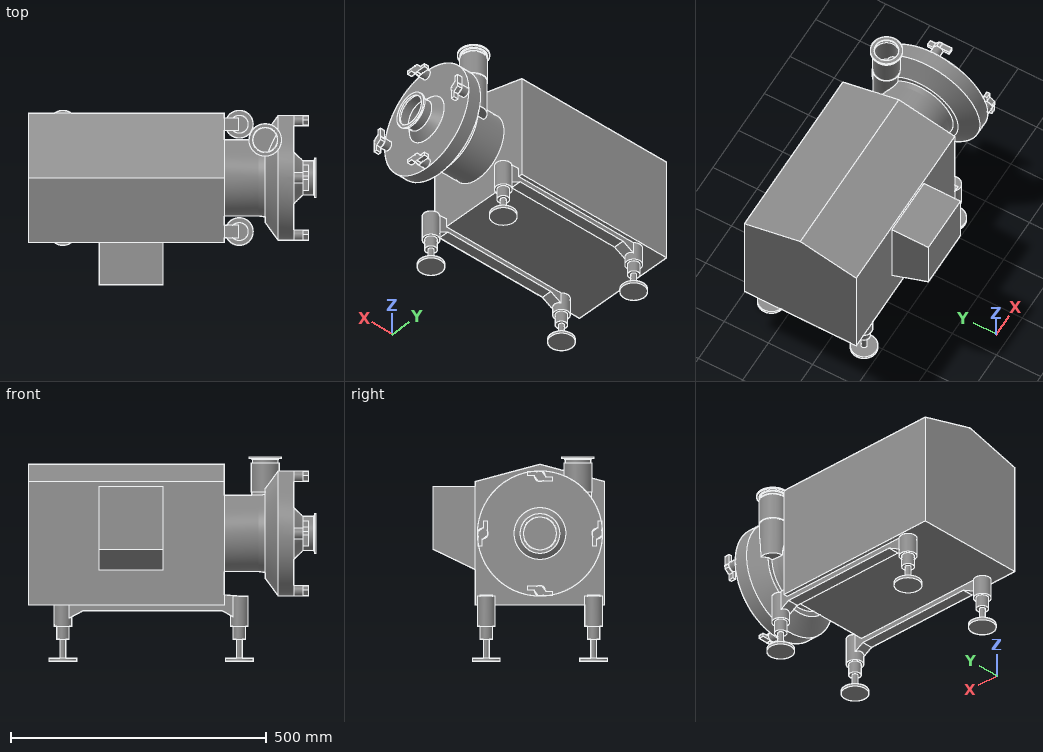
import cadquery as cq
cabinet_length = 383.5
cabinet_half_width = 126.5
cabinet_bottom_z = 110.0
cabinet_eave_z = 352.0
cabinet_ridge_z = 385.5

control_start_x = 138.5
control_length = 125.0
control_front_y = -209.5
control_top_z = 342.5
control_front_bottom_z = 219.0
control_wall_bottom_z = 179.0

shaft_z = 250.0
shaft_diameter = 150.0
collar_start_x = 451.0
collar_diameter = 153.0
casing_start_x = 463.5
casing_back_diameter = 175.5
casing_rim_start_x = 488.5
casing_rim_diameter = 245.0
casing_end_x = 519.5

flange_thickness = 3.5
shoulder_length = 1.5
shoulder_widening = 1.5

inlet_cone_diameter = 101.5
inlet_neck_start_x = 537.0
inlet_neck_diameter = 67.5
inlet_end_x = 563.0
inlet_flange_diameter = 77.5
inlet_bore_diameter = 64.0

outlet_x = casing_start_x
outlet_y = 74.5
outlet_floor_z = 331.5
outlet_foot_diameter = 53.0
outlet_diameter = 55.0
outlet_neck_z = 388.0
outlet_neck_diameter = 50.5
outlet_flange_diameter = 63.5
outlet_top_z = 400.0
outlet_bore_diameter = 48.0

knob_count = 4
knob_stem_diameter = 21.0
knob_handle_start_x = inlet_neck_start_x
knob_end_x = 548.5
knob_circle_radius = (casing_rim_diameter - knob_stem_diameter) / 2
handle_half_outline = [
    (-25.0, 9.0),
    (-3.5, 9.0),
    (-3.5, 10.0),
    (4.0, 9.0),
    (12.5, -1.5),
    (25.0, -1.5),
]

leg_x_positions = (67.5, 412.5)
leg_y_offset = 105.0
leg_steps = [(54.5, 6.0), (12.0, 43.0), (25.0, 68.0), (35.0, 127.0)]

rail_width = 25.0
rail_bottom_z = 98.5
rail_rear_end_bottom_z = 77.5
rail_front_end_bottom_z = 80.5
rail_rear_top_z = 155.5
rail_front_top_z = 128.0
rail_rear_x = 67.5
rail_rear_gusset_end_x = 107.0
rail_front_gusset_start_x = 379.5
rail_front_x = 411.5


def make_cabinet():
    outline = [
        (-cabinet_half_width, cabinet_bottom_z),
        (cabinet_half_width, cabinet_bottom_z),
        (cabinet_half_width, cabinet_eave_z),
        (0, cabinet_ridge_z),
        (-cabinet_half_width, cabinet_eave_z),
    ]
    return cq.Workplane("YZ").polyline(outline).close().extrude(cabinet_length)


def make_control_box():
    outline = [
        (0, control_top_z),
        (control_front_y, control_top_z),
        (control_front_y, control_front_bottom_z),
        (-cabinet_half_width, control_wall_bottom_z),
        (0, control_wall_bottom_z),
    ]
    plane = cq.Workplane("YZ", origin=(control_start_x, 0, 0))
    return plane.polyline(outline).close().extrude(control_length)


def make_pump():
    flange_x = inlet_end_x - flange_thickness
    profile = [
        (cabinet_length, 0),
        (cabinet_length, shaft_diameter / 2),
        (collar_start_x, shaft_diameter / 2),
        (casing_start_x, collar_diameter / 2),
        (casing_start_x, casing_back_diameter / 2),
        (casing_rim_start_x, casing_rim_diameter / 2),
        (casing_end_x, casing_rim_diameter / 2),
        (casing_end_x, inlet_cone_diameter / 2),
        (inlet_neck_start_x, inlet_neck_diameter / 2),
        (flange_x - shoulder_length, inlet_neck_diameter / 2),
        (flange_x, inlet_neck_diameter / 2 + shoulder_widening),
        (flange_x, inlet_flange_diameter / 2),
        (inlet_end_x, inlet_flange_diameter / 2),
        (inlet_end_x, inlet_bore_diameter / 2),
        (casing_end_x, inlet_bore_diameter / 2),
        (casing_end_x, 0),
    ]
    plane = cq.Workplane("XZ", origin=(0, 0, shaft_z))
    return plane.polyline(profile).close().revolve(360, (0, 0, 0), (1, 0, 0))


def vertical_cylinder(x, y, diameter, bottom_z, top_z):
    plane = cq.Workplane("XY", origin=(x, y, bottom_z))
    return plane.circle(diameter / 2).extrude(top_z - bottom_z)


def make_outlet():
    """Pipe on a solid foot at shaft height, with a narrower neck and a flange, bored down to the foot."""
    flange_z = outlet_top_z - flange_thickness
    profile = (
        cq.Workplane("XZ", origin=(outlet_x, outlet_y, 0))
        .moveTo(outlet_bore_diameter / 2, outlet_top_z)
        .lineTo(outlet_flange_diameter / 2, outlet_top_z)
        .lineTo(outlet_flange_diameter / 2, flange_z)
        .lineTo(outlet_neck_diameter / 2 + shoulder_widening, flange_z)
        .lineTo(outlet_neck_diameter / 2, flange_z - shoulder_length)
        .lineTo(outlet_neck_diameter / 2, outlet_neck_z)
        .lineTo(outlet_diameter / 2, outlet_neck_z)
        .lineTo(outlet_diameter / 2, outlet_floor_z)
        .lineTo(outlet_foot_diameter / 2, outlet_floor_z)
        .lineTo(outlet_foot_diameter / 2, shaft_z)
        .lineTo(0, shaft_z)
        .lineTo(0, outlet_floor_z)
        .lineTo(outlet_bore_diameter / 2, outlet_floor_z)
        .close()
    )
    return profile.revolve(360, (0, 0, 0), (0, 1, 0))


def make_handle():
    """Cranked bar lying across the X axis, unchanged by half a turn about it."""
    outline = handle_half_outline + [(-y, -z) for y, z in handle_half_outline]
    return cq.Workplane("YZ").polyline(outline).close().extrude(knob_end_x - knob_handle_start_x)


def make_knob():
    """Knob straight above the shaft axis."""
    centre_z = shaft_z + knob_circle_radius
    plane = cq.Workplane("YZ", origin=(casing_end_x, 0, centre_z))
    stem = plane.circle(knob_stem_diameter / 2).extrude(knob_handle_start_x - casing_end_x)
    return stem.union(make_handle().translate((knob_handle_start_x, 0, centre_z)))


def make_leg(x, y):
    leg = cq.Workplane("XY")
    bottom_z = 0
    for diameter, top_z in leg_steps:
        leg = leg.union(vertical_cylinder(x, y, diameter, bottom_z, top_z))
        bottom_z = top_z
    return leg


def make_rail(y):
    outline = [
        (rail_rear_x, rail_rear_top_z),
        (rail_rear_x, rail_rear_end_bottom_z),
        (rail_rear_gusset_end_x, rail_bottom_z),
        (rail_front_gusset_start_x, rail_bottom_z),
        (rail_front_x, rail_front_end_bottom_z),
        (rail_front_x, rail_front_top_z),
    ]
    plane = cq.Workplane("XZ", origin=(0, y, 0))
    return plane.polyline(outline).close().extrude(rail_width / 2, both=True)


result = make_cabinet().union(make_control_box()).union(make_pump())

result = result.union(make_outlet())

knob = make_knob()
for index in range(knob_count):
    angle = index * 360 / knob_count
    result = result.union(knob.rotate((0, 0, shaft_z), (1, 0, shaft_z), angle))

for side in (-1, 1):
    result = result.union(make_rail(side * leg_y_offset))
    for leg_x in leg_x_positions:
        result = result.union(make_leg(leg_x, side * leg_y_offset))